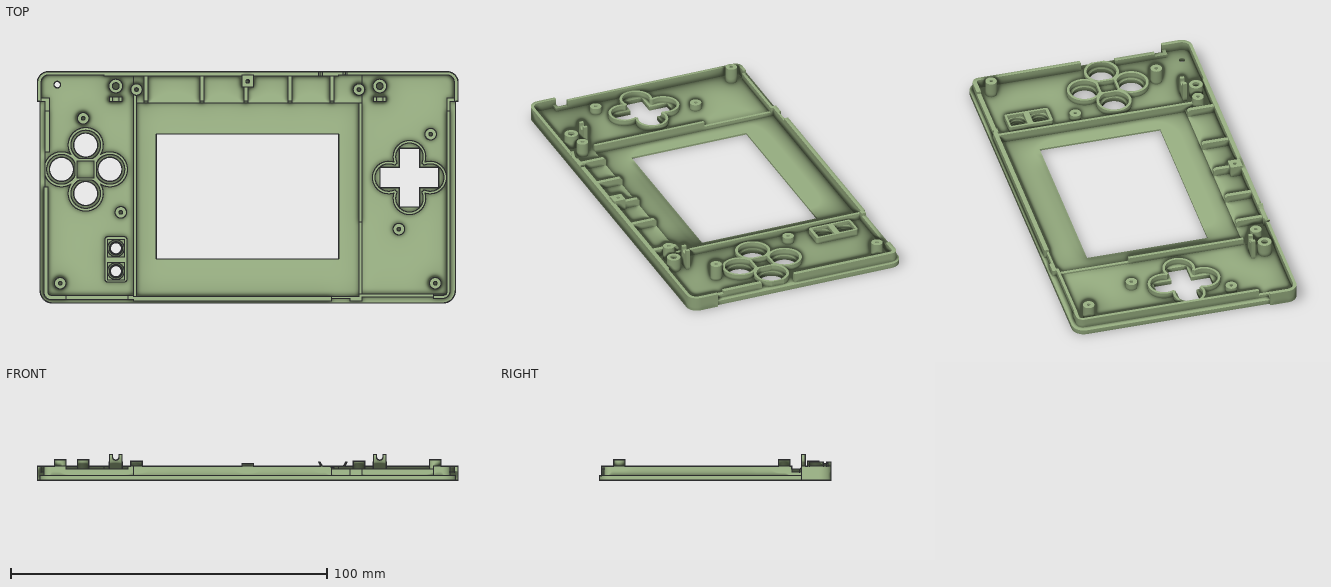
import cadquery as cq

FLOOR_Z = 1.5
SIDE_FLOOR_Z = 1.4
SCREEN_FLOOR_Z = 0.6
LOW_LIP_Z = 2.6
NOTCH_Z = 3.6
RIB_Z = 4.0
WALL_Z = 4.5
BUTTON_RIM_Z = 3.3
SHORT_BOSS_Z = 3.6
LATCH_BLOCK_Z = 5.3
PIVOT_BOSS_Z = 5.8
HINGE_BOSS_Z = 6.1
TALL_BOSS_Z = 6.5
FORK_Z = 8.2

EAR_WIDTH = 133.0
DEPTH = 73.15
BODY_WIDTH = 131.3
EAR_CORNER_R = 3.5
BODY_CORNER_R = 4.0
REAR_Y = DEPTH / 2
FRONT_Y = -DEPTH / 2
EAR_FRONT_Y = 27.2
EAR_WALL = 1.2
REAR_WALL = 1.0
REAR_PAD = 0.4
REAR_PAD_X = (-45.5, 28.7)

CRADLE_X = 26.9
CRADLE_AXIS_Z = 7.4
CRADLE_R = 4.35
CRADLE_HORN_Z = 5.8
CRADLE_HORN = 0.4

LEFT_LIP_X = (-64.4, -63.15)
LEFT_UPPER_LIP_X = (-64.0, -62.65)
LEFT_LIP_Y = 0.1
LEFT_UPPER_LIP_Y = 11.2
LEFT_FRONT_LIP_Y = (-35.5, -34.1)
LEFT_NOTCH_X = (-57.4, -37.8)
RIGHT_LIP_X = (62.9, 63.9)
RIGHT_CORNER_LIP_Y = (-35.1, -34.1)
RIGHT_FRONT_LIP_Y = (-34.6, -33.7)
RIGHT_CORNER_X = 58.7
LIP_CORNER_R = 2.3
LIP_INNER_R = 1.0
LOW_LIP_Y = 24.2
LIP_TOP_Y = 28.3
CENTER_LIP_Y = (-35.9, -34.5)
CENTER_NOTCH_X = 26.4
THIN_LIP_X = (26.4, 32.3)
THIN_LIP_FRONT_Y = -35.2

SCREEN_WALL_X = (35.2, 36.15)
SCREEN_REAR_Y = 26.65
RIGHT_WALL_STEP_Y = -11.0
RIGHT_RIDGE_Z = 2.0
WINDOW_X = (-28.85, 28.75)
WINDOW_Y = (-22.6, 16.85)
RIB_WIDTH = 1.3
RIB_X = (-32.1, -14.5, -0.6, 13.4, 26.6)
RIB_CHAMFER = 0.6

BOSS_D = 3.65
BOSS_HOLE_D = 1.15
TALL_BOSSES = ((-52.0, 21.8), (-59.25, -30.3), (59.25, -30.3))
SHORT_BOSSES = ((-40.1, -7.9), (57.8, 16.8), (47.75, -13.2))
HINGE_BOSS_XY = (35.15, 30.9)
PIVOT_XY = (41.7, 32.0)
PIVOT_D = 4.35
PIVOT_HOLE_D = 2.15
FORK_WIDTH = 4.05
FORK_Y = (27.2, 28.5)
FORK_SLOT_D = 2.0
FORK_SLOT_Z = 7.4
LATCH_X = (-1.85, 1.85)
LATCH_FRONT_Y = 31.7
LATCH_HOLE_Y = 33.5
CORNER_HOLE_XY = (-60.2, 32.45)
CORNER_HOLE_D = 2.0

BUTTONS_XY = (-51.2, 5.7)
BUTTON_SPACING = 7.65
BUTTON_HOLE_D = 7.55
BUTTON_RIM_D = 11.1
BUTTON_RIM_WALL = 0.85
BUTTON_BOX = 6.8
BUTTON_BOX_WELL = 5.35

PAD_XY = (51.1, 3.1)
PAD_SPACING = 6.55
PAD_RIM_D = 10.3
PAD_RIM_WALL = 0.8
PAD_DIAGONAL = 12.0
PAD_LENGTH = 18.5
PAD_ARM = 6.4

KEYS_X = -41.65
KEYS_Y = (-19.25, -26.5)
KEY_BLOCK_X = (-45.1, -38.2)
KEY_BLOCK_Y = (-29.9, -15.6)
KEY_BLOCK_Z = 3.6
KEY_BLOCK_R = 0.8
KEY_WELL = 5.4
KEY_WELL_Z = 2.4
KEY_BORE_D = 5.35
KEY_SEAT_D = 4.2
KEY_SEAT_Z = 0.8
KEY_HOLE_D = 3.5


def block(x_range, y_range, z_range):
    (x0, x1), (y0, y1), (z0, z1) = x_range, y_range, z_range
    return cq.Workplane("XY").box(x1 - x0, y1 - y0, z1 - z0, centered=False).translate((x0, y0, z0))


def cylinder(xy, diameter, z_range):
    z0, z1 = z_range
    return cq.Workplane("XY").circle(diameter / 2).extrude(z1 - z0).translate((*xy, z0))


def mirrored(xy):
    return ((-xy[0], xy[1]), xy)


def around(center, spacing):
    """Four points at equal distance from a centre, along X and Y."""
    x, y = center
    return ((x - spacing, y), (x + spacing, y), (x, y - spacing), (x, y + spacing))


def square(center, side, z_range):
    x, y = center
    half = side / 2
    return block((x - half, x + half), (y - half, y + half), z_range)


def ear_cavity(floor_z):
    """Space between the ears and in front of the rear wall, above floor_z."""
    inside = EAR_WIDTH / 2 - EAR_WALL
    cavity = block((-inside, inside), (EAR_FRONT_Y, REAR_Y - REAR_WALL), (floor_z, WALL_Z))
    return cavity.edges("|Z and >Y").fillet(EAR_CORNER_R - REAR_WALL)


def side_recesses():
    """Slightly deeper floors to the left and to the right of the screen area."""
    z_range = (SIDE_FLOOR_Z, WALL_Z)
    left = block((LEFT_UPPER_LIP_X[0], 0), (LEFT_FRONT_LIP_Y[1], EAR_FRONT_Y), z_range)
    right = block((0, RIGHT_LIP_X[0]), (RIGHT_FRONT_LIP_Y[1], EAR_FRONT_Y), z_range)
    wall_x = SCREEN_WALL_X[1]
    middle = block((-wall_x, wall_x), (FRONT_Y, REAR_Y), z_range)
    return ear_cavity(SIDE_FLOOR_Z).union(left).union(right).cut(middle)


def shell():
    half_body = BODY_WIDTH / 2
    half_ear = EAR_WIDTH / 2
    plate = block((-half_body, half_body), (FRONT_Y, EAR_FRONT_Y), (0, FLOOR_Z))
    plate = plate.edges("|Z and <Y").fillet(BODY_CORNER_R)
    ears = block((-half_ear, half_ear), (EAR_FRONT_Y, REAR_Y), (0, WALL_Z))
    ears = ears.edges("|Z and >Y").fillet(EAR_CORNER_R)
    pad_y = REAR_Y - REAR_WALL
    pad = block(REAR_PAD_X, (pad_y - REAR_PAD, pad_y), (0, WALL_Z))
    return plate.union(ears.cut(ear_cavity(FLOOR_Z))).cut(side_recesses()).union(pad)


def along_y_cylinder(x, z, radius, y_range):
    y0, y1 = y_range
    return cq.Workplane("XZ", origin=(x, y1, z)).circle(radius).extrude(y1 - y0)


def cradle_horns():
    """Two thin horns on top of the rear wall, parts of a ring whose axis runs along Y."""
    y_range = (REAR_Y - REAR_WALL - REAR_PAD, REAR_Y)
    reach = CRADLE_R + CRADLE_HORN
    ring = along_y_cylinder(CRADLE_X, CRADLE_AXIS_Z, reach, y_range)
    ring = ring.cut(along_y_cylinder(CRADLE_X, CRADLE_AXIS_Z, CRADLE_R, y_range))
    root_z = WALL_Z - CRADLE_HORN
    pad_end = REAR_PAD_X[1]
    x_range = (CRADLE_X - reach, CRADLE_X + reach)
    horns = ring.intersect(block(x_range, y_range, (root_z, CRADLE_HORN_Z)))
    pad_y = (y_range[0], REAR_Y - REAR_WALL)
    return horns.cut(block((pad_end, x_range[1]), pad_y, (root_z, CRADLE_HORN_Z)))


def corner_lip(outer_x, inner_x, y_range, limit_x, limit_y):
    """L-shaped lip that turns a front corner; it stops at limit_x and at limit_y."""
    z_range = (0, WALL_Z)
    outer = block(sorted((outer_x, limit_x)), (y_range[0], limit_y), z_range)
    inner = block(sorted((inner_x, limit_x)), (y_range[1], limit_y), z_range)
    corner = "|Z and <Y and <X" if outer_x < 0 else "|Z and <Y and >X"
    outer = outer.edges(corner).fillet(LIP_CORNER_R)
    inner = inner.edges(corner).fillet(LIP_INNER_R)
    return outer.cut(inner)


def left_lip():
    wall_x = -SCREEN_WALL_X[1]
    lip = corner_lip(*LEFT_LIP_X, LEFT_FRONT_LIP_Y, wall_x, LEFT_LIP_Y)
    lip = lip.cut(block(LEFT_NOTCH_X, LEFT_FRONT_LIP_Y, (NOTCH_Z, WALL_Z)))
    upper = block(LEFT_UPPER_LIP_X, (LEFT_UPPER_LIP_Y, LOW_LIP_Y), (0, NOTCH_Z))
    low = block(LEFT_UPPER_LIP_X, (LOW_LIP_Y, LIP_TOP_Y), (0, LOW_LIP_Z))
    ear_inside = -EAR_WIDTH / 2 + EAR_WALL
    link = block((ear_inside, LEFT_UPPER_LIP_X[1]), (EAR_FRONT_Y, LIP_TOP_Y), (0, LOW_LIP_Z))
    return lip.union(upper).union(low).union(link)


def right_lip():
    inner_x, outer_x = RIGHT_LIP_X
    lip = corner_lip(outer_x, inner_x, RIGHT_CORNER_LIP_Y, RIGHT_CORNER_X, LOW_LIP_Y)
    low = block(RIGHT_LIP_X, (LOW_LIP_Y, LIP_TOP_Y), (0, LOW_LIP_Z))
    ear_inside = EAR_WIDTH / 2 - EAR_WALL
    link = block((inner_x, ear_inside), (EAR_FRONT_Y, LIP_TOP_Y), (0, LOW_LIP_Z))
    front = block((SCREEN_WALL_X[0], RIGHT_CORNER_X), RIGHT_FRONT_LIP_Y, (0, NOTCH_Z))
    return lip.union(low).union(link).union(front)


def center_lip():
    wall_x = SCREEN_WALL_X[1]
    tall = block((-wall_x, CENTER_NOTCH_X), CENTER_LIP_Y, (0, WALL_Z))
    low = block((CENTER_NOTCH_X, wall_x), CENTER_LIP_Y, (0, NOTCH_Z))
    recess = block(THIN_LIP_X, (CENTER_LIP_Y[0], THIN_LIP_FRONT_Y), (FLOOR_Z, WALL_Z))
    return tall.union(low).cut(recess)


def screen_walls():
    inner_x, outer_x = SCREEN_WALL_X
    front_y = CENTER_LIP_Y[1]
    left = block((-outer_x, -inner_x), (front_y, HINGE_BOSS_XY[1]), (0, NOTCH_Z))
    right = block(SCREEN_WALL_X, (RIGHT_WALL_STEP_Y, SCREEN_REAR_Y), (0, NOTCH_Z))
    ridge = block(SCREEN_WALL_X, (front_y, RIGHT_WALL_STEP_Y), (0, RIGHT_RIDGE_Z))
    return left.union(right).union(ridge)


def ribs():
    rear_y = REAR_Y - REAR_WALL
    body = cq.Workplane("XY")
    for x in RIB_X:
        rib = block((x - RIB_WIDTH / 2, x + RIB_WIDTH / 2), (SCREEN_REAR_Y, rear_y), (0, RIB_Z))
        body = body.add(rib.edges("<Y and >Z").chamfer(RIB_CHAMFER))
    return body.combine()


def boss(xy, top_z, diameter=BOSS_D, hole_d=BOSS_HOLE_D):
    return cylinder(xy, diameter, (0, top_z)).cut(cylinder(xy, hole_d, (SIDE_FLOOR_Z, top_z)))


def fork(x):
    half = FORK_WIDTH / 2
    body = block((x - half, x + half), FORK_Y, (0, FORK_Z))
    radius = FORK_SLOT_D / 2
    slot = block((x - radius, x + radius), FORK_Y, (FORK_SLOT_Z, FORK_Z))
    return body.cut(slot).cut(along_y_cylinder(x, FORK_SLOT_Z, radius, FORK_Y))


def latch_block():
    body = block(LATCH_X, (LATCH_FRONT_Y, REAR_Y - REAR_WALL), (0, LATCH_BLOCK_Z))
    return body.cut(cylinder((0, LATCH_HOLE_Y), BOSS_HOLE_D, (FLOOR_Z, LATCH_BLOCK_Z)))


def add_buttons(body):
    centers = around(BUTTONS_XY, BUTTON_SPACING)
    well_d = BUTTON_RIM_D - 2 * BUTTON_RIM_WALL
    rim_z = (SIDE_FLOOR_Z, BUTTON_RIM_Z)
    rims = square(BUTTONS_XY, BUTTON_BOX, rim_z)
    for xy in centers:
        rims = rims.union(cylinder(xy, BUTTON_RIM_D, rim_z))
    for xy in centers:
        rims = rims.cut(cylinder(xy, well_d, rim_z))
    rims = rims.union(square(BUTTONS_XY, BUTTON_BOX, rim_z))
    rims = rims.cut(square(BUTTONS_XY, BUTTON_BOX_WELL, rim_z))
    edge_x = LEFT_UPPER_LIP_X[0]
    rims = rims.cut(block((edge_x - BUTTON_RIM_D, edge_x), (LEFT_LIP_Y, LEFT_UPPER_LIP_Y), rim_z))
    body = body.union(rims)
    for xy in centers:
        body = body.cut(cylinder(xy, BUTTON_HOLE_D, (0, FLOOR_Z)))
    return body


def clover(diameter, diagonal, z_range):
    """Four joined discs around the direction pad, with a square turned by 45 degrees between them."""
    middle = square((0, 0), diagonal, z_range).rotate((0, 0, 0), (0, 0, 1), 45)
    body = middle.translate((*PAD_XY, 0))
    for xy in around(PAD_XY, PAD_SPACING):
        body = body.union(cylinder(xy, diameter, z_range))
    return body


def add_direction_pad(body):
    rim_z = (SIDE_FLOOR_Z, BUTTON_RIM_Z)
    rim = clover(PAD_RIM_D, PAD_DIAGONAL, rim_z)
    rim = rim.cut(clover(PAD_RIM_D - 2 * PAD_RIM_WALL, PAD_DIAGONAL, rim_z))
    x, y = PAD_XY
    long, short = PAD_LENGTH / 2, PAD_ARM / 2
    cross = block((x - long, x + long), (y - short, y + short), (0, FLOOR_Z))
    cross = cross.union(block((x - short, x + short), (y - long, y + long), (0, FLOOR_Z)))
    return body.union(rim).cut(cross)


def add_keys(body):
    keys = block(KEY_BLOCK_X, KEY_BLOCK_Y, (0, KEY_BLOCK_Z)).edges("|Z").fillet(KEY_BLOCK_R)
    body = body.union(keys)
    for y in KEYS_Y:
        xy = (KEYS_X, y)
        body = body.cut(square(xy, KEY_WELL, (KEY_WELL_Z, KEY_BLOCK_Z)))
        body = body.cut(cylinder(xy, KEY_BORE_D, (FLOOR_Z, KEY_BLOCK_Z)))
        body = body.cut(cylinder(xy, KEY_SEAT_D, (KEY_SEAT_Z, KEY_BLOCK_Z)))
        body = body.cut(cylinder(xy, KEY_HOLE_D, (0, KEY_BLOCK_Z)))
    return body


def screen_recess():
    inner_x = SCREEN_WALL_X[0]
    return block((-inner_x, inner_x), (CENTER_LIP_Y[1], SCREEN_REAR_Y), (SCREEN_FLOOR_Z, WALL_Z))


body = shell().cut(screen_recess())
parts = (left_lip(), right_lip(), center_lip(), screen_walls(), ribs(), latch_block(), cradle_horns())
for part in parts:
    body = body.union(part)
for xy in TALL_BOSSES:
    body = body.union(boss(xy, TALL_BOSS_Z))
for xy in SHORT_BOSSES:
    body = body.union(boss(xy, SHORT_BOSS_Z))
for xy in mirrored(HINGE_BOSS_XY):
    body = body.union(boss(xy, HINGE_BOSS_Z))
    body = body.cut(cylinder(xy, BOSS_HOLE_D, (FLOOR_Z, HINGE_BOSS_Z)))
for xy in mirrored(PIVOT_XY):
    body = body.union(boss(xy, PIVOT_BOSS_Z, PIVOT_D, PIVOT_HOLE_D))
    body = body.union(fork(xy[0]))
body = add_buttons(body)
body = add_direction_pad(body)
body = add_keys(body)
body = body.cut(block(WINDOW_X, WINDOW_Y, (0, FLOOR_Z)))
body = body.cut(cylinder(CORNER_HOLE_XY, CORNER_HOLE_D, (0, FLOOR_Z)))
result = body